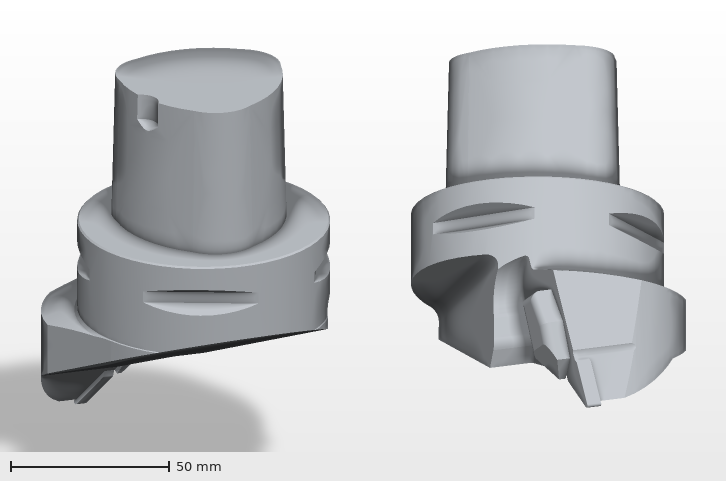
import cadquery as cq
import math

FLANGE_DIAMETER = 80.0
FLANGE_RADIUS = FLANGE_DIAMETER / 2
FLANGE_HEIGHT = 30.2
FLANGE_CHAMFER = 0.5
SHANK_HEIGHT = 48.0
TOOL_REACH = 80.0
TIP_OFFSET = 55.0

SHANK_FLAT_RADIUS = 25.7
SHANK_LOBE_RADIUS = 29.8
SHANK_JOINT_RADIUS = 27.8
SHANK_JOINT_ANGLE = 39.5
SHANK_TAPER = math.degrees(math.atan(1 / 40))

NOTCH_RADIUS = 5.6
NOTCH_CENTRE_Y = -27.4
NOTCH_DEPTH = 8.3
NOTCH_CONE_DEPTH = 4.4

SLOT_Z = -12.2
SLOT_FLOOR_DISTANCE = 35.6
SLOT_FLOOR_HEIGHT = 3.7
SLOT_FLANK_ANGLE = 30.0
SLOT_LENGTH = 51.2

HEAD_RADIUS = FLANGE_RADIUS + 0.3
HEAD_ARC_START = (-29.3, -HEAD_RADIUS)
HEAD_ARC_MIDDLE = (-44.3, -28.5)
HEAD_ARC_END = (-53.1, -11.9)
HEAD_SIDE_END = (-62.3, 20.1)
SHOULDER_SLOPE = 0.31
SHOULDER_CHAMFER = 0.9
BEYOND = 128.0

BACK_FACE_Y = 22.8
BACK_ROOF_Z = -25.1
BACK_ROOF_SLOPE = 0.08
BACK_FILLET = 3.8

INSERT_CIRCLE = 9.5
INSERT_ANGLE = 35.0
INSERT_THICKNESS = 4.9
NOSE_RADIUS = 0.8
LEAD_ANGLE = 3.5

HEEL_INSET = 1.2
RELIEF_LENGTH = 16.6
UNDERSIDE_ANGLE = 22.7
GROOVE_BOTTOM = 16.0
GROOVE_TOP = 18.4
UPPER_FLANK_INSET = 0.5
LOWER_FLANK_INSET = 0.9
GROOVE_INSET = 1.0

POCKET_ROOF = 54.8
POCKET_ARC_START = 18.4
POCKET_ARC_MIDDLE = (25.9, 50.3)
POCKET_WALL = 27.8
POCKET_WALL_TOP = 37.9
POCKET_WALL_BOTTOM = 31.5
POCKET_BEND_MIDDLE = (27.9, 29.5)
POCKET_BEND_END = (28.7, 27.8)
POCKET_FOOT = (35.8, 18.5)
POCKET_FILLET = 1.3

CLAMP_HEIGHT = 7.0
CLAMP_OUTLINE = [(6.9, 40.2), (3.6, 28.9), (5.1, 5.1), (16.9, 5.1), (16.9, 40.2)]
CLAMP_NOSE = [(3.8, 17.2), (10.8, 11.8), (17.9, 23.7)]
CLAMP_FILLET = 2.8
CLAMP_NOSE_HEIGHT = 2.3
CLAMP_NOSE_V = CLAMP_NOSE[1][1]
CLAMP_SLOPE_TOP_V = 22.8

RAKE_SIDE_TILT = 0.1
RAKE_BACK_TILT = 0.235
NORMAL_LENGTH = math.sqrt(1 + RAKE_SIDE_TILT**2 + RAKE_BACK_TILT**2)
NOSE_DROP = NOSE_RADIUS * math.sqrt(1 - (RAKE_BACK_TILT / NORMAL_LENGTH) ** 2)
NOSE_SIDE = NOSE_RADIUS * math.sqrt(1 - (RAKE_SIDE_TILT / NORMAL_LENGTH) ** 2)
RAKE_PLANE = cq.Plane(
    origin=(NOSE_SIDE - TIP_OFFSET, 0, NOSE_DROP - TOOL_REACH),
    xDir=(1, RAKE_SIDE_TILT, 0),
    normal=(RAKE_SIDE_TILT, -1, RAKE_BACK_TILT),
)


def polar(radius, angle):
    """Point at an angle measured from +X."""
    return (radius * math.cos(math.radians(angle)), radius * math.sin(math.radians(angle)))


def step(point, length, lean):
    """Point reached by moving a length in a direction leaning from up towards +x."""
    lean = math.radians(lean)
    return (point[0] + length * math.sin(lean), point[1] + length * math.cos(lean))


SHARP_TIP = step(
    (0, 0),
    -NOSE_RADIUS / math.sin(math.radians(INSERT_ANGLE / 2)),
    LEAD_ANGLE + INSERT_ANGLE / 2,
)


def make_insert():
    half_angle = math.radians(INSERT_ANGLE / 2)
    half_length = INSERT_CIRCLE / 2 / math.sin(half_angle)
    edge = INSERT_CIRCLE / math.sin(2 * half_angle)
    bisector = LEAD_ANGLE + INSERT_ANGLE / 2
    corners = [
        SHARP_TIP,
        step(SHARP_TIP, edge, LEAD_ANGLE),
        step(SHARP_TIP, 2 * half_length, bisector),
        step(SHARP_TIP, edge, LEAD_ANGLE + INSERT_ANGLE),
    ]
    blank = cq.Workplane(RAKE_PLANE).polyline(corners).close().extrude(INSERT_THICKNESS)
    along_normal = cq.selectors.ParallelDirSelector(RAKE_PLANE.zDir)
    return blank.edges(along_normal).fillet(NOSE_RADIUS)


def make_shank():
    pitch = 120
    first_flat = -90
    outline = cq.Workplane("XY").moveTo(*polar(SHANK_JOINT_RADIUS, first_flat - SHANK_JOINT_ANGLE))
    for lobe in range(3):
        flat = first_flat + lobe * pitch
        outline = outline.threePointArc(
            polar(SHANK_FLAT_RADIUS, flat),
            polar(SHANK_JOINT_RADIUS, flat + SHANK_JOINT_ANGLE),
        ).threePointArc(
            polar(SHANK_LOBE_RADIUS, flat + pitch / 2),
            polar(SHANK_JOINT_RADIUS, flat + pitch - SHANK_JOINT_ANGLE),
        )
    return outline.close().extrude(SHANK_HEIGHT, taper=SHANK_TAPER)


def make_notch():
    notch_profile = [
        (0, SHANK_HEIGHT),
        (NOTCH_RADIUS, SHANK_HEIGHT),
        (NOTCH_RADIUS, SHANK_HEIGHT - NOTCH_DEPTH),
        (0, SHANK_HEIGHT - NOTCH_DEPTH - NOTCH_CONE_DEPTH),
    ]
    drill = cq.Workplane("XZ").polyline(notch_profile).close().revolve(360, (0, 0), (0, 1))
    return drill.translate((0, NOTCH_CENTRE_Y, 0))


def make_flange():
    disc = cq.Workplane("XY").circle(FLANGE_RADIUS).extrude(-FLANGE_HEIGHT)
    return disc.faces(">Z").edges().chamfer(FLANGE_CHAMFER)


def make_slot(angle):
    depth = FLANGE_RADIUS - SLOT_FLOOR_DISTANCE
    floor = SLOT_FLOOR_HEIGHT / 2
    mouth = floor + depth * math.tan(math.radians(SLOT_FLANK_ANGLE))
    section = [
        (SLOT_FLOOR_DISTANCE, SLOT_Z - floor),
        (FLANGE_RADIUS, SLOT_Z - mouth),
        (FLANGE_RADIUS, SLOT_Z + mouth),
        (SLOT_FLOOR_DISTANCE, SLOT_Z + floor),
    ]
    groove = cq.Workplane("XZ").polyline(section).close().extrude(SLOT_LENGTH / 2, both=True)
    return groove.rotate((0, 0, 0), (0, 0, 1), angle)


def make_head():
    """Upright column under the flange, reaching out to the insert, topped by a conical shoulder."""
    core = cq.Workplane("XY").circle(HEAD_RADIUS).extrude(-BEYOND)
    arm = (
        cq.Workplane("XY")
        .moveTo(0, -HEAD_RADIUS)
        .lineTo(*HEAD_ARC_START)
        .threePointArc(HEAD_ARC_MIDDLE, HEAD_ARC_END)
        .lineTo(*HEAD_SIDE_END)
        .lineTo(0, HEAD_SIDE_END[1])
        .close()
        .extrude(-BEYOND)
    )
    chamfer_radius = FLANGE_RADIUS + SHOULDER_CHAMFER
    chamfer_bottom = -FLANGE_HEIGHT - SHOULDER_CHAMFER
    shoulder_profile = [
        (0, -BEYOND),
        (BEYOND, -BEYOND),
        (BEYOND, chamfer_bottom - SHOULDER_SLOPE * (BEYOND - chamfer_radius)),
        (chamfer_radius, chamfer_bottom),
        (FLANGE_RADIUS, -FLANGE_HEIGHT),
        (0, -FLANGE_HEIGHT),
    ]
    under_shoulder = cq.Workplane("XZ").polyline(shoulder_profile).close().revolve(360, (0, 0), (0, 1))
    return core.union(arm).intersect(under_shoulder)


def make_head_envelope():
    """Prism square to the rake plane: grooved left flank, relief below the insert, underside."""

    def flank(height, inset):
        lean = math.tan(math.radians(LEAD_ANGLE))
        return (SHARP_TIP[0] + (height - SHARP_TIP[1]) * lean + inset, height)

    heel_rise = (
        HEEL_INSET / math.sin(math.radians(INSERT_ANGLE))
        + LOWER_FLANK_INSET / math.tan(math.radians(INSERT_ANGLE))
    )
    heel = flank(SHARP_TIP[1] + heel_rise, LOWER_FLANK_INSET)
    relief_end = step(heel, RELIEF_LENGTH, LEAD_ANGLE + INSERT_ANGLE)
    underside_end = step(relief_end, BEYOND, 90 - UNDERSIDE_ANGLE)
    return (
        cq.Workplane(RAKE_PLANE)
        .moveTo(*heel)
        .lineTo(*relief_end)
        .lineTo(*underside_end)
        .lineTo(underside_end[0], BEYOND)
        .lineTo(*flank(BEYOND, UPPER_FLANK_INSET))
        .lineTo(*flank(GROOVE_TOP, UPPER_FLANK_INSET))
        .threePointArc(
            flank((GROOVE_TOP + GROOVE_BOTTOM) / 2, GROOVE_INSET),
            flank(GROOVE_BOTTOM, LOWER_FLANK_INSET),
        )
        .close()
        .extrude(BEYOND, both=True)
    )


def make_back_relief():
    """Room behind the head, with a sloping roof and a round edge next to the back face."""
    outline = [
        (BACK_FACE_Y, BACK_ROOF_Z),
        (BACK_FACE_Y, -BEYOND),
        (BEYOND, -BEYOND),
        (BEYOND, BACK_ROOF_Z + BACK_ROOF_SLOPE * (BEYOND - BACK_FACE_Y)),
    ]
    room = cq.Workplane("YZ").polyline(outline).close().extrude(BEYOND, both=True)
    return room.edges("|X").edges("<Y").edges(">Z").fillet(BACK_FILLET)


def make_pocket():
    """Room in front of the rake face for the clamp and insert."""
    room = (
        cq.Workplane(RAKE_PLANE)
        .moveTo(-BEYOND, POCKET_ROOF)
        .lineTo(POCKET_ARC_START, POCKET_ROOF)
        .threePointArc(POCKET_ARC_MIDDLE, (POCKET_WALL, POCKET_WALL_TOP))
        .lineTo(POCKET_WALL, POCKET_WALL_BOTTOM)
        .threePointArc(POCKET_BEND_MIDDLE, POCKET_BEND_END)
        .lineTo(*POCKET_FOOT)
        .lineTo(POCKET_FOOT[0], -BEYOND)
        .lineTo(-BEYOND, -BEYOND)
        .close()
        .extrude(-BEYOND)
    )
    floor = cq.selectors.DirectionMinMaxSelector(RAKE_PLANE.zDir, True)
    return room.faces(floor).edges().fillet(POCKET_FILLET)


def make_clamp():
    block = cq.Workplane(RAKE_PLANE).polyline(CLAMP_OUTLINE).close().extrude(-CLAMP_HEIGHT)
    side_plane = cq.Plane(RAKE_PLANE.origin, xDir=RAKE_PLANE.yDir, normal=RAKE_PLANE.xDir)
    slope = (CLAMP_HEIGHT - CLAMP_NOSE_HEIGHT) / (CLAMP_SLOPE_TOP_V - CLAMP_NOSE_V)
    run = CLAMP_HEIGHT / slope
    ramp = (
        cq.Workplane(side_plane)
        .polyline([
            (CLAMP_NOSE_V, -CLAMP_NOSE_HEIGHT),
            (CLAMP_SLOPE_TOP_V + run, -2 * CLAMP_HEIGHT),
            (CLAMP_NOSE_V, -2 * CLAMP_HEIGHT),
        ])
        .close()
        .extrude(BEYOND, both=True)
    )
    top = cq.selectors.DirectionMinMaxSelector(RAKE_PLANE.zDir, False)
    block = block.faces(top).edges().fillet(CLAMP_FILLET)
    (left, _), (right, _) = CLAMP_NOSE[0], CLAMP_NOSE[-1]
    below_nose = (
        cq.Workplane(RAKE_PLANE)
        .polyline([(left, 0), *CLAMP_NOSE, (right, 0)])
        .close()
        .extrude(BEYOND, both=True)
    )
    return block.cut(ramp).cut(below_nose)


def make_holder(insert):
    body = make_flange().union(make_head())
    body = body.intersect(make_head_envelope())
    body = body.cut(make_back_relief())
    body = body.cut(make_pocket())
    for angle in (45, 135, 225, 315):
        body = body.cut(make_slot(angle))
    body = body.union(make_shank().cut(make_notch()))
    body = body.union(make_clamp())
    return body.cut(insert)


insert = make_insert()
holder = make_holder(insert)
result = cq.Compound.makeCompound([holder.val(), insert.val()])